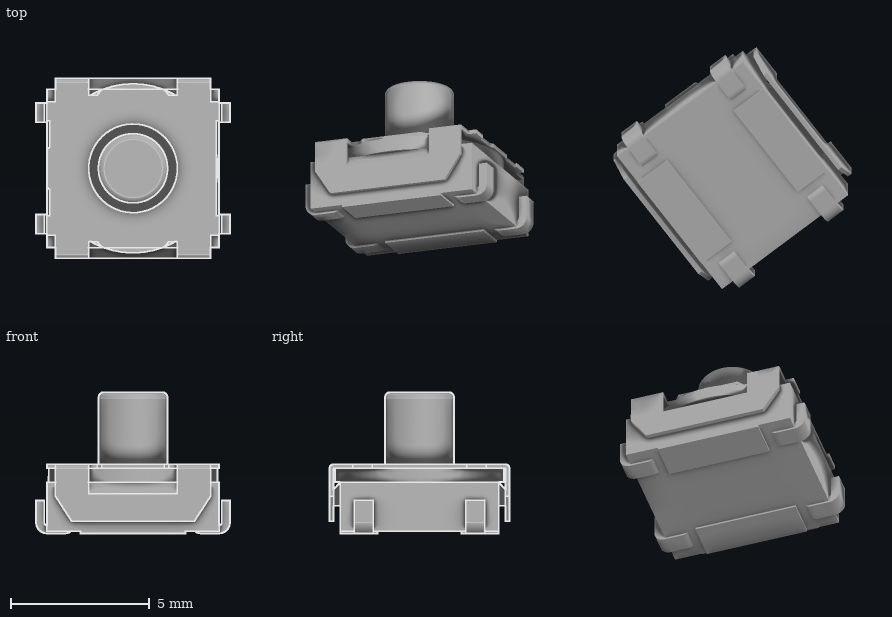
import cadquery as cq

overall_length = 7.0
overall_width = 6.5
overall_height = 5.1

base_length = 6.22
base_width = 5.72
base_bottom = 0.08
base_top = 1.85
pad_length = 3.8
pad_width = 1.35

disc_diameter = 6.1
button_diameter = 2.5
button_edge_radius = 0.2

sheet = 0.15
cover_top = 2.5
cover_bottom = cover_top - sheet
cover_hole_diameter = 3.2
cover_bend_radius = 0.15
plate_width = 4.82
flange_length = 5.6
flange_taper_top = 1.35
flange_bottom = 0.44
flange_bottom_length = 4.42

window_length = 3.2
window_bottom = 1.0
window_inner_y = 2.64
lip_root_length = 2.58
lip_tip_length = 2.24
catch_slope_bottom = 1.43

notch_depth = 0.1
notch_end_y = 1.71
notch_inner_y = 0.76
notch_bevel = 0.08

lead_thickness = 0.3
lead_width = 0.7
lead_center_y = 2.01
lead_height = 1.2
lead_inner_radius = 0.1
lead_outer_radius = lead_inner_radius + lead_thickness
lead_tip_x = 2.15
lead_tip_radius = lead_thickness

SIDES = (-1, 1)


def block(length, width, bottom, top, x=0, y=0):
    """Box centred at (x, y) and running from bottom to top."""
    return (
        cq.Workplane("XY", origin=(x, y, bottom))
        .rect(length, width)
        .extrude(top - bottom)
    )


def cylinder(diameter, bottom, top):
    return cq.Workplane("XY", origin=(0, 0, bottom)).circle(diameter / 2).extrude(top - bottom)


def make_base():
    """Base block with a standing pad along each Y edge of its underside."""
    base = block(base_length, base_width, base_bottom, base_top)
    pad_y = (base_width - pad_width) / 2
    for side in SIDES:
        base = base.union(block(pad_length, pad_width, 0, base_bottom, y=side * pad_y))
    return base


def make_catch():
    """Sloped catch on the +Y wall, flush with the outside of the cover flange."""
    wall_y = base_width / 2
    return (
        cq.Workplane("YZ")
        .moveTo(0, window_bottom)
        .lineTo(overall_width / 2, window_bottom)
        .lineTo(overall_width / 2, catch_slope_bottom)
        .lineTo(wall_y, base_top)
        .lineTo(0, base_top)
        .close()
        .extrude(window_length / 2, both=True)
    )


def make_button():
    disc = cylinder(disc_diameter, base_top, cover_bottom)
    button = cylinder(button_diameter, base_top, overall_height)
    return disc.union(button.faces(">Z").edges().fillet(button_edge_radius))


def make_bent_sheet():
    """Inverted channel: top plate with a tapered flange down each Y side."""
    channel = block(base_length, overall_width, flange_bottom, cover_top)
    channel = channel.edges("|X and >Z").fillet(cover_bend_radius)
    channel = channel.cut(
        block(base_length, overall_width - 2 * sheet, flange_bottom, cover_bottom)
    )
    flange_outline = (
        cq.Workplane("XZ")
        .moveTo(-flange_length / 2, cover_top)
        .lineTo(-flange_length / 2, flange_taper_top)
        .lineTo(-flange_bottom_length / 2, flange_bottom)
        .lineTo(flange_bottom_length / 2, flange_bottom)
        .lineTo(flange_length / 2, flange_taper_top)
        .lineTo(flange_length / 2, cover_top)
        .close()
        .extrude(overall_width / 2, both=True)
    )
    wide_plate = block(base_length, plate_width, cover_bottom, cover_top)
    return channel.intersect(flange_outline.union(wide_plate))


def make_window_cutter():
    """Window on the +Y side, leaving a flared lip on the edge of the top plate."""
    window = block(
        window_length,
        overall_width / 2 - window_inner_y,
        window_bottom,
        cover_top,
        y=(overall_width / 2 + window_inner_y) / 2,
    )
    lip = (
        cq.Workplane("XY", origin=(0, 0, cover_bottom))
        .moveTo(-lip_root_length / 2, window_inner_y)
        .lineTo(-lip_tip_length / 2, base_width / 2)
        .lineTo(lip_tip_length / 2, base_width / 2)
        .lineTo(lip_root_length / 2, window_inner_y)
        .close()
        .extrude(sheet)
    )
    return window.cut(lip)


def make_left_notch():
    """Notch on the -X edge, on its +Y half, with a bevelled inner end."""
    edge_x = -base_length / 2
    return (
        cq.Workplane("XY", origin=(0, 0, cover_bottom))
        .moveTo(edge_x, notch_end_y)
        .lineTo(edge_x + notch_depth, notch_end_y)
        .lineTo(edge_x + notch_depth, notch_inner_y)
        .lineTo(edge_x, notch_inner_y - notch_bevel)
        .close()
        .extrude(sheet)
    )


def make_cover():
    cover = make_bent_sheet().cut(cylinder(cover_hole_diameter, cover_bottom, cover_top))

    window = make_window_cutter()
    cover = cover.cut(window).cut(window.mirror("XZ"))

    left_notch = make_left_notch()
    cover = cover.cut(left_notch).cut(left_notch.mirror("XZ"))

    right_notch_x = (base_length - notch_depth) / 2
    right_notch = block(notch_depth, 2 * notch_end_y, cover_bottom, cover_top, x=right_notch_x)
    return cover.cut(right_notch)


def make_lead(side_x, side_y):
    """L-shaped lead whose foot runs under the base and ends in a rounded tip."""
    outer_x = overall_length / 2
    lead = (
        cq.Workplane("XZ")
        .moveTo(outer_x, lead_height)
        .lineTo(outer_x, lead_outer_radius)
        .radiusArc((outer_x - lead_outer_radius, 0), lead_outer_radius)
        .lineTo(lead_tip_x + lead_tip_radius, 0)
        .radiusArc((lead_tip_x, lead_thickness), lead_tip_radius)
        .lineTo(outer_x - lead_outer_radius, lead_thickness)
        .radiusArc((outer_x - lead_thickness, lead_outer_radius), -lead_inner_radius)
        .lineTo(outer_x - lead_thickness, lead_height)
        .close()
        .extrude(lead_width / 2, both=True)
    )
    if side_x < 0:
        lead = lead.mirror("YZ")
    return lead.translate((0, side_y * lead_center_y, 0))


def make_switch():
    catch = make_catch()
    switch = make_base().union(catch).union(catch.mirror("XZ"))
    switch = switch.union(make_button()).union(make_cover())
    for side_x in SIDES:
        for side_y in SIDES:
            switch = switch.union(make_lead(side_x, side_y))
    return switch


result = make_switch()